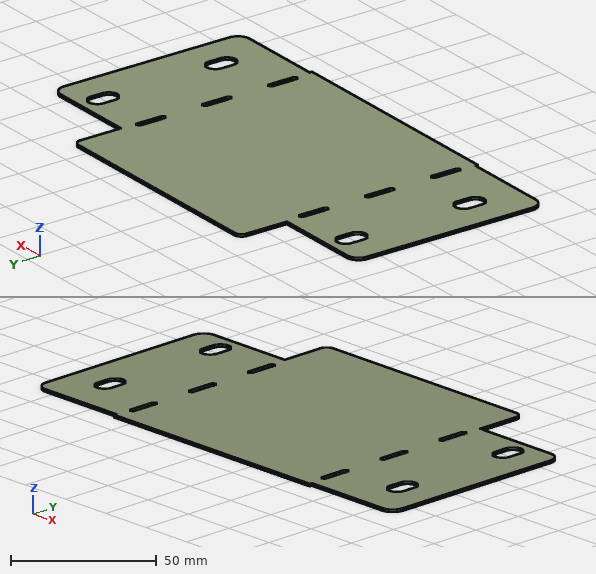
import cadquery as cq

total_width = 177.0
total_depth = 101.0
thickness = 1.0

ear_width = 40.0
ear_depth = 80.0
ear_front_step = 1.0
ear_corner_radius = 5.0
panel_width = total_width - 2 * ear_width
panel_corner_radius = 3.0

slot_length = 12.0
mount_slot_width = 7.0
mount_slot_edge_distance = 16.0
mount_slot_front_distance = 20.0
mount_slot_back_distance = 10.0

narrow_slot_width = 2.0
narrow_slot_pitch = 28.0

ear_front = ear_front_step
ear_back = ear_front + ear_depth
ear_middle = (ear_front + ear_back) / 2


def make_panel():
    """Central panel, rounded at its back corners only."""
    return (
        cq.Workplane("XY")
        .rect(panel_width, total_depth)
        .extrude(thickness)
        .edges("|Z and >Y")
        .fillet(panel_corner_radius)
        .translate((0, total_depth / 2, 0))
    )


def make_ears():
    """One full-width strip whose ends form both ears."""
    return (
        cq.Workplane("XY")
        .rect(total_width, ear_depth)
        .extrude(thickness)
        .edges("|Z")
        .fillet(ear_corner_radius)
        .translate((0, ear_middle, 0))
    )


def make_slots(centers, width):
    """Round-ended cutters running along Y."""
    return cq.Workplane("XY").pushPoints(centers).slot2D(slot_length, width, 90).extrude(thickness)


mount_slot_x = total_width / 2 - mount_slot_edge_distance
mount_slot_rows = (ear_front + mount_slot_front_distance, ear_back - mount_slot_back_distance)
mount_slot_centers = [(side * mount_slot_x, y) for side in (-1, 1) for y in mount_slot_rows]

narrow_slot_x = (panel_width - narrow_slot_width) / 2
narrow_slot_centers = [
    (side * narrow_slot_x, ear_middle + row * narrow_slot_pitch)
    for side in (-1, 1)
    for row in (-1, 0, 1)
]

result = (
    make_panel()
    .union(make_ears())
    .cut(make_slots(mount_slot_centers, mount_slot_width))
    .cut(make_slots(narrow_slot_centers, narrow_slot_width))
)